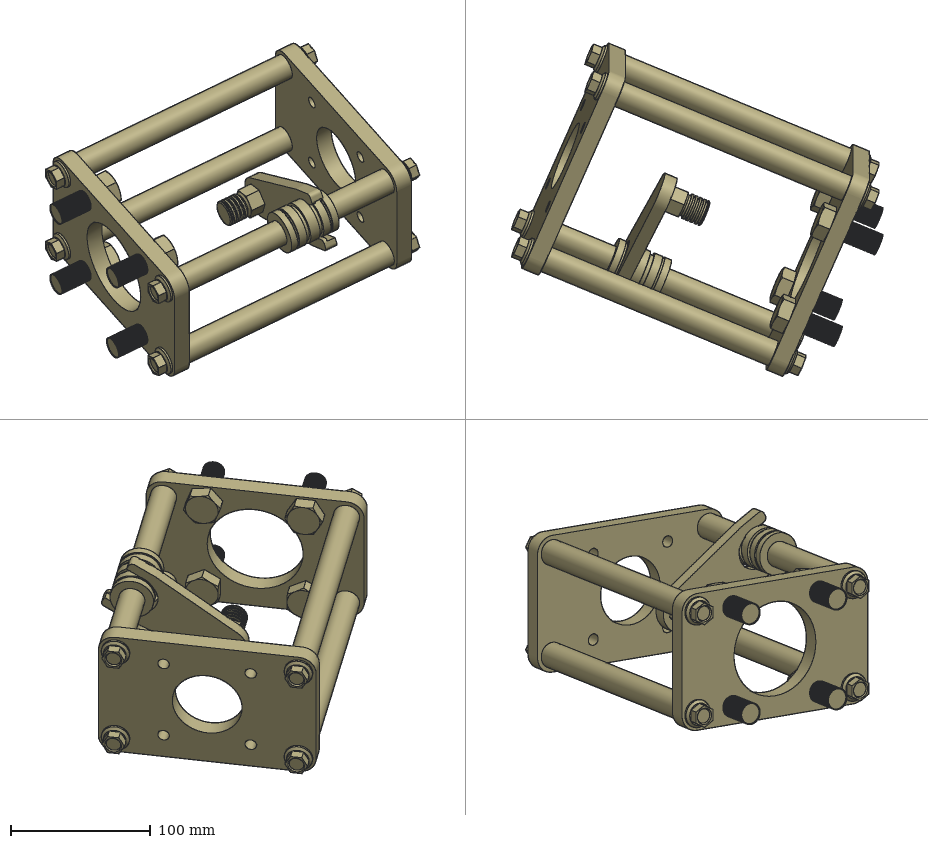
import cadquery as cq
import math

INCH = 25.4


plate_thickness = 0.5 * INCH
plate_gap = 7.0 * INCH
rear_plate_y = plate_thickness + plate_gap
frame_depth = rear_plate_y + plate_thickness
front_bore_diameter = 2.75 * INCH
rear_bore_diameter = 2.0 * INCH
rear_hole_spacing = 2.5 * INCH
rear_hole_diameter = 8.4

rod_diameter = 0.75 * INCH
rod_x = 5.25 * INCH / 2
rod_z = 3.0 * INCH / 2
corner_radius = 0.5 * INCH
plate_width = 2 * (rod_x + corner_radius)
plate_height = 2 * (rod_z + corner_radius)

rod_bolt_flats = 9 / 16 * INCH
rod_bolt_height = 9.92
rod_bolt_flange_diameter = 20.6
rod_bolt_flange_thickness = INCH / 16
rod_bolt_cone_top = INCH / 8
rod_bolt_dimple_rim = 12.0
rod_bolt_dimple_floor = 10.6
rod_bolt_dimple_depth = 1.2
front_clocking = 30
rear_clocking = 0

stud_diameter = 5 / 8 * INCH
stud_length = 1.0 * INCH
stud_pitch = INCH / 18
stud_thread_depth = 0.5
stud_circle_diameter = 4.125 * INCH
stud_offset = stud_circle_diameter / 2 * math.sin(math.radians(45))
stud_head_flats = 15 / 16 * INCH
stud_head_height = 25 / 64 * INCH
stud_head_chamfer_run = 1.8
stud_head_chamfer_drop = 0.8
stud_layout = [(-1, 1, 0), (1, 1, -10), (-1, -1, 30), (1, -1, 30)]

hub_diameter = 1.25 * INCH
hub_groove_diameter = 27.8
hub_narrow_groove_diameter = 29.6
hub_front_y = 98.4
hub_end_flange = 5.24
hub_narrow_groove = INCH / 16
hub_land = INCH / 4
hub_wide_groove = INCH / 8
hub_body = 5 / 16 * INCH

arm_thickness = 3 / 8 * INCH
arm_front_y = (hub_front_y + hub_end_flange + hub_narrow_groove + hub_land
               + hub_wide_groove + hub_body)
arm_back_y = arm_front_y + arm_thickness
arm_length = math.hypot(rod_x, rod_z)
arm_angle = math.degrees(math.atan2(rod_z, rod_x))
arm_head_radius = 5 / 8 * INCH
lip_thickness = hub_wide_groove
lip_radius = hub_groove_diameter / 2
lip_setback = 4.5
counterbore_radius = hub_diameter / 2
prong_outer = 22.775
prong_reach = 15.195
prong_corner_radius = INCH / 8
prong_shoulder = 5.0

spindle_flats = 0.75 * INCH
spindle_hex_length = 7 / 16 * INCH
spindle_clocking = 15.5
spindle_ring_radius = 3 / 8 * INCH
spindle_root_radius = 5 / 16 * INCH
spindle_cone_length = INCH / 16
spindle_neck_length = INCH / 16
spindle_ring_width = INCH / 16
spindle_ring_pitch = INCH / 8
spindle_ring_count = 5
spindle_chamfer = INCH / 32


def corners_across(flats):
    """Corner-to-corner size of a hexagon with the given size across flats."""
    return flats / math.cos(math.radians(30))


def turned(profile, x=0.0, z=0.0):
    """Revolve (radius, y) points around an axis parallel to Y through (x, z)."""
    return (cq.Workplane("XY").polyline(profile).close()
            .revolve(360, (0, 0, 0), (0, 1, 0)).translate((x, 0, z)))


def rod(diameter, y_start, y_end, x=0.0, z=0.0):
    """Cylinder along Y."""
    return (cq.Workplane("XZ", origin=(x, y_end, z))
            .circle(diameter / 2).extrude(y_end - y_start))


def hexagon(flats, y_start, y_end, x=0.0, z=0.0, clocking=0):
    """Hexagonal prism along Y; at zero clocking two corners point along X."""
    return (cq.Workplane("XZ", origin=(x, y_end, z))
            .transformed(rotate=(0, 0, clocking))
            .polygon(6, corners_across(flats)).extrude(y_end - y_start))


def ring_thread(crest_radius, root_radius, y_start, pitch, ring_width, count):
    """Profile points, towards -Y, of square thread rings that each follow a groove."""
    points = []
    for index in range(count):
        groove_start = y_start - index * pitch
        ring_start = groove_start - (pitch - ring_width)
        ring_end = groove_start - pitch
        points += [(root_radius, groove_start), (root_radius, ring_start),
                   (crest_radius, ring_start), (crest_radius, ring_end)]
    return points


def end_plate(y_start, bore_diameter):
    plate = (cq.Workplane("XZ", origin=(0, y_start + plate_thickness, 0))
             .rect(plate_width, plate_height).extrude(plate_thickness)
             .edges("|Y").fillet(corner_radius))
    return plate.cut(rod(bore_diameter, y_start, y_start + plate_thickness))


def rod_bolt_head(clocking):
    """Indented, flanged hex head seated on Y = 0 and pointing to -Y."""
    flange_radius = rod_bolt_flange_diameter / 2
    flange = turned([
        (0, 0),
        (flange_radius, 0),
        (flange_radius, -rod_bolt_flange_thickness),
        (corners_across(rod_bolt_flats) / 2, -rod_bolt_cone_top),
        (0, -rod_bolt_cone_top),
    ])
    dimple = turned([
        (0, -rod_bolt_height),
        (rod_bolt_dimple_rim / 2, -rod_bolt_height),
        (rod_bolt_dimple_floor / 2, rod_bolt_dimple_depth - rod_bolt_height),
        (0, rod_bolt_dimple_depth - rod_bolt_height),
    ])
    head = hexagon(rod_bolt_flats, -rod_bolt_height, 0, clocking=clocking)
    return head.union(flange).cut(dimple)


def stud(x, z, clocking):
    """Hex head behind the front plate and a threaded end in front of it."""
    radius = stud_diameter / 2
    thread = ring_thread(radius, radius - stud_thread_depth, 0,
                         stud_pitch, stud_pitch / 2, round(stud_length / stud_pitch))
    shank = turned([(0, plate_thickness), (radius, plate_thickness), (radius, 0)]
                   + thread + [(0, -stud_length)], x, z)
    head_top = plate_thickness + stud_head_height
    corner = corners_across(stud_head_flats) / 2
    chamfer_cone = turned([
        (0, plate_thickness),
        (corner, plate_thickness),
        (corner, head_top - stud_head_chamfer_drop),
        (corner - stud_head_chamfer_run, head_top),
        (0, head_top),
    ], x, z)
    head = hexagon(stud_head_flats, plate_thickness, head_top, x, z, clocking)
    return shank.union(head.intersect(chamfer_cone))


def build_frame():
    rear_plate = end_plate(rear_plate_y, rear_bore_diameter)
    for x_side in (-1, 1):
        for z_side in (-1, 1):
            rear_plate = rear_plate.cut(
                rod(rear_hole_diameter, rear_plate_y, frame_depth,
                    x_side * rear_hole_spacing / 2, z_side * rear_hole_spacing / 2))

    frame = end_plate(0, front_bore_diameter).union(rear_plate)
    front_head = rod_bolt_head(front_clocking)
    rear_head = rod_bolt_head(rear_clocking).mirror("XZ").translate((0, frame_depth, 0))
    for x in (-rod_x, rod_x):
        for z in (-rod_z, rod_z):
            frame = frame.union(rod(rod_diameter, 0, frame_depth, x, z))
            frame = frame.union(front_head.translate((x, 0, z)))
            frame = frame.union(rear_head.translate((x, 0, z)))
    for x_side, z_side, clocking in stud_layout:
        frame = frame.union(stud(x_side * stud_offset, z_side * stud_offset, clocking))
    return frame


def build_hub():
    """Grooved sleeve; its sections are listed from front to back."""
    outer = hub_diameter / 2
    narrow = hub_narrow_groove_diameter / 2
    sections = [
        (outer, hub_end_flange),
        (narrow, hub_narrow_groove),
        (outer, hub_land),
        (hub_groove_diameter / 2, hub_wide_groove),
        (outer, hub_body),
        (hub_groove_diameter / 2, hub_wide_groove),
        (outer, hub_land),
        (narrow, hub_narrow_groove),
        (outer, hub_end_flange),
    ]
    bore = rod_diameter / 2
    y = hub_front_y
    profile = [(bore, y)]
    for radius, length in sections:
        profile += [(radius, y), (radius, y + length)]
        y += length
    profile.append((bore, y))
    return turned(profile, rod_x, rod_z)


def arm_blank():
    """Forked arm lying along +X with the centre of its head at the origin."""
    shoulder = arm_length - prong_shoulder
    tip = arm_length + prong_reach
    slot_end = arm_length - lip_setback
    taper = (math.atan2(prong_outer, shoulder)
             - math.asin(arm_head_radius / math.hypot(shoulder, prong_outer)))
    tangent_x = -arm_head_radius * math.sin(taper)
    tangent_z = arm_head_radius * math.cos(taper)
    return (cq.Workplane("XZ", origin=(0, arm_back_y, 0))
            .moveTo(tangent_x, tangent_z)
            .lineTo(shoulder, prong_outer)
            .lineTo(tip, prong_outer)
            .lineTo(tip, lip_radius)
            .lineTo(slot_end, lip_radius)
            .threePointArc((slot_end - lip_radius, 0), (slot_end, -lip_radius))
            .lineTo(tip, -lip_radius)
            .lineTo(tip, -prong_outer)
            .lineTo(shoulder, -prong_outer)
            .lineTo(tangent_x, -tangent_z)
            .threePointArc((-arm_head_radius, 0), (tangent_x, tangent_z))
            .close().extrude(arm_thickness)
            .faces(">X").edges("|Y").fillet(prong_corner_radius))


def fork_counterbore():
    """Wider slot behind the front lip, fitting the full diameter of the hub."""
    open_end = arm_length + prong_reach
    return (cq.Workplane("XZ", origin=(0, arm_back_y, 0))
            .moveTo(open_end, counterbore_radius)
            .lineTo(arm_length, counterbore_radius)
            .threePointArc((arm_length - counterbore_radius, 0), (arm_length, -counterbore_radius))
            .lineTo(open_end, -counterbore_radius)
            .close().extrude(arm_thickness - lip_thickness))


def spindle():
    """Hex base with a ringed end, pointing to -Y from the arm's front face."""
    hex_end = arm_front_y - spindle_hex_length
    neck_start = hex_end - spindle_cone_length
    first_groove = neck_start - spindle_neck_length + (spindle_ring_pitch - spindle_ring_width)
    rings = ring_thread(spindle_ring_radius, spindle_root_radius, first_groove,
                        spindle_ring_pitch, spindle_ring_width, spindle_ring_count)
    end_y = rings[-1][1]
    rings[-1] = (spindle_ring_radius, end_y + spindle_chamfer)
    threaded_end = turned(
        [(0, hex_end), (spindle_ring_radius, hex_end), (spindle_root_radius, neck_start)]
        + rings[1:]
        + [(spindle_ring_radius - spindle_chamfer, end_y), (0, end_y)])
    base = hexagon(spindle_flats, hex_end, arm_front_y, clocking=spindle_clocking)
    return base.union(threaded_end)


def build_arm():
    arm = arm_blank().cut(fork_counterbore()).rotate((0, 0, 0), (0, -1, 0), arm_angle)
    return arm.union(spindle())


frame = build_frame()
hub = build_hub()
arm = build_arm()

result = cq.Compound.makeCompound([frame.val(), hub.val(), arm.val()])